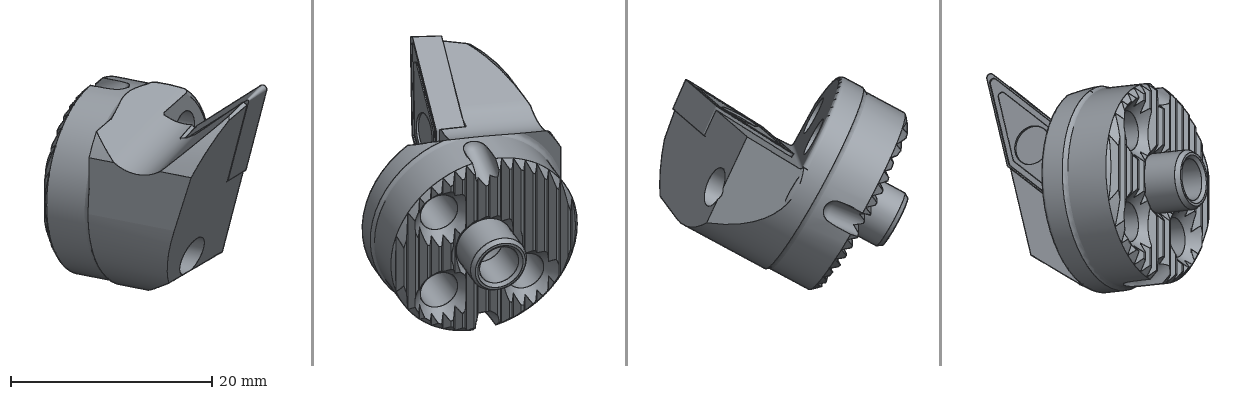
import cadquery as cq
import math


TOTAL_LENGTH = 23.8
TOTAL_WIDTH = 20.5
TOTAL_HEIGHT = 23.25

FLANGE_RADIUS = 10.0
COLLAR_RADIUS = TOTAL_WIDTH / 2
COLLAR_X = 5.21
COLLAR_RELIEF = 0.62
FLANGE_FACE_X = 8.28
COLLAR_FILLET = 0.5
RIM_CHAMFER = 0.79

GROOVES_PER_SIDE = 8
OUTER_GROOVE_SPACING = 18.85
TOOTH_PITCH = OUTER_GROOVE_SPACING / (2 * GROOVES_PER_SIDE - 1)
TOOTH_CREST = 0.29
TOOTH_ANGLE = 60.0
TOOTH_DEPTH = (TOOTH_PITCH - TOOTH_CREST) / 2 / math.tan(math.radians(TOOTH_ANGLE / 2))

BOLT_OFFSET = 4.62
BOLT_RADIUS = 2.0
BOLT_CORNERS = [(1, 1), (1, -1), (-1, -1)]
COUNTERSINK_DEPTH = 1.38
COUNTERSINK_WIDENING = 1.17
PIN_COUNTERSINK = 0.8

SLOT_WIDTH = 2.48
SLOT_END_X = 3.28
SLOT_FLOOR_RADIUS = 7.5
SLOT_TILT = 25.0

PIN_RADIUS = 3.0
PIN_REACH = 3.5
PIN_SEAT_X = 4.28
PIN_CHAMFER_LENGTH = 0.5
PIN_CHAMFER_HEIGHT = 0.3
PIN_BORE_RADIUS = 2.1
PIN_BORE_CHAMFER = 0.33
PIN_BORE_END_X = 0.95
DRILL_TIP_ANGLE = 118.0

SIDE_FLAT_TOP_Z = 6.0
BACK_ARC_RADIUS = 14.75
BACK_ARC_Y = 2.8
BACK_ARC_Z = -0.83
BACK_ARC_MID_ANGLE = 120.0
NOSE_TOP_Y = 2.85
NOSE_END_X = 22.6
BELLY_ANGLE = 31.5
BELLY_START_X = 7.7
STEP_FILLET = 0.3

TROUGH_RADIUS = 4.85
TROUGH_X = 10.7
TROUGH_Z = 12.0
TROUGH_DIRECTION = cq.Vector(0.054, -1, -0.18)
TROUGH_REAR_ANGLE = 36.5
TROUGH_FRONT_ANGLE = 39.0
TROUGH_SLOPE_LENGTH = 14.28

INSERT_INSCRIBED = 6.35
INSERT_ANGLE = 35.0
INSERT_THICKNESS = 3.2
INSERT_CLEARANCE = 5.0
INSERT_NOSE_RADIUS = 0.4
INSERT_TILT = 6.2
INSERT_LEAD = 72.5
NOSE_CENTRE_X = TOTAL_LENGTH - PIN_REACH - INSERT_NOSE_RADIUS
NOSE_CENTRE_Z = TOTAL_HEIGHT - COLLAR_RADIUS - INSERT_NOSE_RADIUS
RAKE_Y = 0.07
CHIP_GROOVE_LAND = 0.2
CHIP_GROOVE_INNER = 0.75
CHIP_GROOVE_DEPTH = 0.15
INSERT_PROUD = 0.35
POCKET_OPENING = 0.71
BEVEL_REACH = 0.6
BEVEL_ANGLE = 140.0
FLANK_SETBACK = 0.07
NOSE_FLAT_SETBACK = 1.07
NOSE_FLAT_CLEARANCE = 12.0

SCREW_RADIUS = 1.4
SCREW_HEAD_RADIUS = 2.0
SCREW_HEAD_RECESS = 0.24
SCREW_HEAD_HEIGHT = 1.07
SCREW_LENGTH = 7.15

BIG = 71.4

half_angle = math.radians(INSERT_ANGLE / 2)
bisector = math.radians(INSERT_LEAD - INSERT_ANGLE / 2)
edge_length = INSERT_INSCRIBED / math.sin(2 * half_angle)
long_half = edge_length * math.cos(half_angle)
short_half = edge_length * math.sin(half_angle)
nose_to_corner = INSERT_NOSE_RADIUS / math.sin(half_angle)
nose_to_centre = long_half - nose_to_corner
tilt = math.radians(INSERT_TILT)
rake_up = cq.Vector(0, -math.sin(tilt), math.cos(tilt))
rake_depth = cq.Vector(0, -math.cos(tilt), -math.sin(tilt))
nose_centre = cq.Vector(NOSE_CENTRE_X, RAKE_Y, NOSE_CENTRE_Z)


def in_rake(angle):
    """Unit vector in the rake face at an angle from X."""
    return cq.Vector(math.cos(angle), 0, 0) + rake_up * math.sin(angle)


insert_centre = nose_centre - in_rake(bisector) * nose_to_centre
sharp_corner = nose_centre + in_rake(bisector) * nose_to_corner
insert_plane = cq.Plane(insert_centre, cq.Vector(1, 0, 0), rake_depth)


def beyond(point, normal):
    """A block filling all the space beyond a plane."""
    return cq.Workplane(cq.Plane(point, normal=normal)).rect(BIG, BIG).extrude(BIG)


def relieved(outward, clearance):
    """Normal of a flank that recedes below the rake face by a clearance angle."""
    lean = math.radians(clearance)
    return outward * math.cos(lean) + rake_depth * math.sin(lean)


def rhombic_prism(inset, height):
    """Tapered rhombus below the rake face, its sides `inset` inside those of the insert."""
    scale = 1 - 2 * inset / INSERT_INSCRIBED
    long_reach = long_half * scale
    short_reach = short_half * scale
    corners = [(long_reach, 0), (0, short_reach), (-long_reach, 0), (0, -short_reach), (long_reach, 0)]
    outline = cq.Sketch().polygon(corners).vertices().fillet(INSERT_NOSE_RADIUS)
    outline = outline.moved(cq.Location(cq.Vector(), cq.Vector(0, 0, 1), math.degrees(bisector)))
    return cq.Workplane(insert_plane).placeSketch(outline).extrude(height, taper=INSERT_CLEARANCE)


def insert_blank():
    """Insert without its groove and hole."""
    return rhombic_prism(0, INSERT_THICKNESS)


def chip_groove():
    """Shallow groove that follows the edge of the rake face inside a narrow land."""
    outer = rhombic_prism(CHIP_GROOVE_LAND, CHIP_GROOVE_DEPTH)
    return outer.cut(rhombic_prism(CHIP_GROOVE_INNER, CHIP_GROOVE_DEPTH))


def screw_solid():
    """Countersunk screw square to the rake face, its flat head sunk a little below it."""
    neck = SCREW_HEAD_RECESS + SCREW_HEAD_HEIGHT
    section = (
        cq.Workplane("XZ")
        .polyline([
            (0, SCREW_HEAD_RECESS),
            (SCREW_HEAD_RADIUS, SCREW_HEAD_RECESS),
            (SCREW_RADIUS, neck),
            (SCREW_RADIUS, SCREW_LENGTH),
            (0, SCREW_LENGTH),
        ])
        .close()
        .revolve(360, (0, 0, 0), (0, 1, 0))
    )
    return cq.Workplane(section.val().located(insert_plane.location))


def screw_hole():
    """Hole that fits the screw and leaves its head in sight."""
    mouth = cq.Workplane(insert_plane).circle(SCREW_HEAD_RADIUS).extrude(SCREW_HEAD_RECESS)
    return mouth.union(screw_solid())


def about_x(profile):
    """Revolve an (x, radius) outline about the X axis."""
    return cq.Workplane("XY").polyline(profile).close().revolve(360, (0, 0, 0), (1, 0, 0))


def flange():
    """Flange with its bevelled rim and rounded collar."""
    blank = about_x([
        (0, 0),
        (0, FLANGE_RADIUS - RIM_CHAMFER),
        (TOOTH_DEPTH, FLANGE_RADIUS),
        (COLLAR_X, FLANGE_RADIUS),
        (COLLAR_X, COLLAR_RADIUS),
        (FLANGE_FACE_X, COLLAR_RADIUS),
        (FLANGE_FACE_X, 0),
    ])
    return blank.faces(">X").edges().fillet(COLLAR_FILLET)


def collar_relief():
    """Ring of space with a concave fillet, behind the collar and the back of the nose."""
    arc = math.pi / 4
    return (
        cq.Workplane("XY")
        .moveTo(COLLAR_X, FLANGE_RADIUS)
        .threePointArc(
            (
                COLLAR_X + COLLAR_RELIEF * math.sin(arc),
                FLANGE_RADIUS + COLLAR_RELIEF * (1 - math.cos(arc)),
            ),
            (COLLAR_X + COLLAR_RELIEF, FLANGE_RADIUS + COLLAR_RELIEF),
        )
        .lineTo(COLLAR_X + COLLAR_RELIEF, BIG)
        .lineTo(COLLAR_X, BIG)
        .close()
        .revolve(360, (0, 0, 0), (1, 0, 0))
    )


def nose():
    """Bar below and behind the insert, flush with the collar, before the trough and pocket."""
    arc_lift = math.sqrt(BACK_ARC_RADIUS**2 - (NOSE_TOP_Y - BACK_ARC_Y) ** 2)
    arc_mid = math.radians(BACK_ARC_MID_ANGLE)
    section = (
        cq.Workplane("YZ", origin=(COLLAR_X, 0, 0))
        .moveTo(COLLAR_RADIUS, 0)
        .threePointArc((0, -COLLAR_RADIUS), (-COLLAR_RADIUS, 0))
        .lineTo(-COLLAR_RADIUS, SIDE_FLAT_TOP_Z)
        .threePointArc(
            (
                BACK_ARC_Y + BACK_ARC_RADIUS * math.cos(arc_mid),
                BACK_ARC_Z + BACK_ARC_RADIUS * math.sin(arc_mid),
            ),
            (NOSE_TOP_Y, BACK_ARC_Z + arc_lift),
        )
        .lineTo(NOSE_TOP_Y, 0)
        .close()
    )
    body = section.extrude(NOSE_END_X - COLLAR_X)

    belly = math.radians(BELLY_ANGLE)
    belly_normal = cq.Vector(math.sin(belly), 0, -math.cos(belly))
    body = body.cut(beyond(cq.Vector(BELLY_START_X, 0, -COLLAR_RADIUS), belly_normal))

    side = bisector + half_angle - math.pi / 2
    flank_normal = relieved(in_rake(side), INSERT_CLEARANCE)
    body = body.cut(beyond(sharp_corner - in_rake(side) * FLANK_SETBACK, flank_normal))

    flat_point = sharp_corner - in_rake(bisector) * NOSE_FLAT_SETBACK
    body = body.cut(beyond(flat_point, relieved(in_rake(bisector), NOSE_FLAT_CLEARANCE)))

    fillet_top = nose_centre + rake_depth * (INSERT_PROUD - STEP_FILLET)
    return body.cut(beyond(fillet_top, rake_depth * -1))


def rake_side_clearance():
    """Space on the +Y side of the nose, in front of the flange face, with a filleted inner corner."""
    corner = nose_centre + rake_depth * INSERT_PROUD
    block = beyond(corner, rake_depth * -1)
    front = cq.Workplane("XY").box(BIG, BIG, BIG).translate((FLANGE_FACE_X + BIG / 2, 0, 0))
    inner_edge = cq.selectors.NearestToPointSelector((FLANGE_FACE_X, corner.y, corner.z))
    return block.intersect(front).edges(inner_edge).fillet(STEP_FILLET)


def trough():
    """Rounded chip trough with a sloping flank on each side."""
    rear = math.radians(TROUGH_REAR_ANGLE)
    front = math.radians(TROUGH_FRONT_ANGLE)
    rear_x = -TROUGH_RADIUS * math.sin(rear)
    rear_z = -TROUGH_RADIUS * math.cos(rear)
    front_x = TROUGH_RADIUS * math.sin(front)
    front_z = -TROUGH_RADIUS * math.cos(front)
    reach = TROUGH_SLOPE_LENGTH
    along = TROUGH_DIRECTION.normalized()
    across = cq.Vector(1, 0, 0) - along * along.x
    return (
        cq.Workplane(cq.Plane((TROUGH_X, 0, TROUGH_Z), across, along))
        .moveTo(rear_x - reach * math.cos(rear), rear_z + reach * math.sin(rear))
        .lineTo(rear_x, rear_z)
        .threePointArc((0, -TROUGH_RADIUS), (front_x, front_z))
        .lineTo(front_x + reach * math.cos(front), front_z + reach * math.sin(front))
        .close()
        .extrude(reach, both=True)
    )


def tooth_groove(y):
    """Vertical V groove between two teeth."""
    half_gap = (TOOTH_PITCH - TOOTH_CREST) / 2
    return (
        cq.Workplane("XY", origin=(0, 0, -BIG / 2))
        .polyline([(0, y - half_gap), (TOOTH_DEPTH, y), (0, y + half_gap)])
        .close()
        .extrude(BIG)
    )


def countersunk_hole(radius, end_x, widening, depth):
    """Hole along X from the crests, its mouth wider by `widening` and narrowing over `depth`."""
    return about_x([
        (0, 0),
        (0, radius + widening),
        (depth, radius),
        (end_x, radius),
        (end_x, 0),
    ])


def key_slot():
    """Ball-ended slot in the top of the flange, its floor sinking towards the toothed face."""
    radius = SLOT_WIDTH / 2
    slope = math.radians(SLOT_TILT)
    end_z = SLOT_FLOOR_RADIUS + SLOT_END_X * math.tan(slope) + radius / math.cos(slope)
    end = cq.Vector(SLOT_END_X, 0, end_z)
    inward = cq.Vector(-math.cos(slope), 0, -math.sin(slope))
    channel = (
        cq.Workplane(cq.Plane(end, cq.Vector(0, -1, 0), inward))
        .moveTo(-radius, FLANGE_RADIUS)
        .lineTo(-radius, 0)
        .threePointArc((0, -radius), (radius, 0))
        .lineTo(radius, FLANGE_RADIUS)
        .close()
        .extrude(FLANGE_RADIUS)
    )
    return channel.union(cq.Workplane("XY").sphere(radius).translate(end))


def pocket():
    """Seat of the insert, open towards the trough, with a bevel down to the insert's rear corner."""
    seat = insert_blank()
    opened = seat.union(seat.translate(in_rake(math.radians(INSERT_LEAD)) * POCKET_OPENING))
    corner = insert_centre + in_rake(bisector + math.pi / 2) * short_half
    bevel = in_rake(math.radians(BEVEL_ANGLE))
    bevel_cutter = (
        cq.Workplane(cq.Plane(corner, bevel, rake_depth))
        .rect(2 * BEVEL_REACH, 2 * BEVEL_REACH)
        .extrude(INSERT_THICKNESS)
        .translate(in_rake(math.radians(BEVEL_ANGLE - 90)) * BEVEL_REACH)
    )
    return opened.union(bevel_cutter)


def make_head():
    head = flange().union(nose()).cut(collar_relief()).cut(trough()).cut(rake_side_clearance())
    for index in range(-GROOVES_PER_SIDE, GROOVES_PER_SIDE):
        head = head.cut(tooth_groove((index + 0.5) * TOOTH_PITCH))
    bolt_hole = countersunk_hole(BOLT_RADIUS, NOSE_END_X, COUNTERSINK_WIDENING, COUNTERSINK_DEPTH)
    for y_side, z_side in BOLT_CORNERS:
        head = head.cut(bolt_hole.translate((0, y_side * BOLT_OFFSET, z_side * BOLT_OFFSET)))
    head = head.cut(countersunk_hole(PIN_RADIUS, PIN_SEAT_X, PIN_COUNTERSINK, PIN_COUNTERSINK))
    slot = key_slot()
    head = head.cut(slot).cut(slot.mirror("XY"))
    return head.cut(pocket()).cut(screw_hole())


def make_pin():
    """Centring pin with a drilled blind bore."""
    tip_length = PIN_BORE_RADIUS / math.tan(math.radians(DRILL_TIP_ANGLE / 2))
    return about_x([
        (-PIN_REACH, PIN_BORE_RADIUS + PIN_BORE_CHAMFER),
        (-PIN_REACH, PIN_RADIUS - PIN_CHAMFER_HEIGHT),
        (-PIN_REACH + PIN_CHAMFER_LENGTH, PIN_RADIUS),
        (PIN_SEAT_X, PIN_RADIUS),
        (PIN_SEAT_X, 0),
        (PIN_BORE_END_X + tip_length, 0),
        (PIN_BORE_END_X, PIN_BORE_RADIUS),
        (-PIN_REACH + PIN_BORE_CHAMFER, PIN_BORE_RADIUS),
    ])


def make_insert():
    return insert_blank().cut(chip_groove()).cut(screw_hole())


head = make_head()
pin = make_pin()
insert = make_insert()
screw = screw_solid()
result = cq.Compound.makeCompound([head.val(), pin.val(), insert.val(), screw.val()])